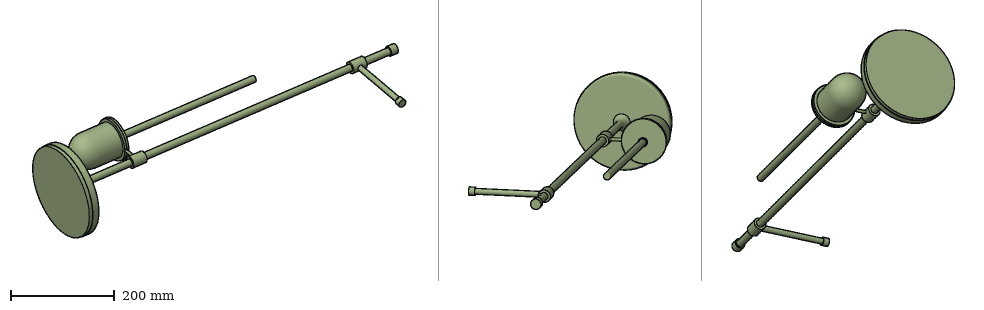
import cadquery as cq
import math

TOTAL_LENGTH = 790.0

BASE_RADIUS = 190.0 / 2
BASE_THICKNESS = 24.5
BASE_EDGE_FILLET = 5.0
FOOT_RADIUS = 94.0
FOOT_HEIGHT = 8.0
POST_RADIUS = 7.5
FLARE_RADIUS = 16.5
FLARE_HEIGHT = 19.0
POST_CAP_RADIUS = 10.0
POST_CAP_LENGTH = 16.0

COLLAR_RADIUS = 24.5 / 2
COLLAR_LENGTH = 31.5

TOWEL_ARM_Y = 699.0
TOWEL_ARM_REACH = 151.0
TOWEL_ARM_RADIUS = 5.9
TOWEL_CAP_RADIUS = 16.5 / 2
TOWEL_CAP_LENGTH = 12.0

CUP_X = -79.0
CUP_RADIUS = 37.0
DOME_CENTER_Y = 119.0
HOLDER_ARM_Y = 179.0
HOLDER_ARM_RADIUS = 3.0
RING_RADIUS = 43.5
RING_BOTTOM_Y = 176.0
RING_HEIGHT = 5.0

LID_RADIUS = 44.0
LID_THICKNESS = 5.0
HANDLE_RADIUS = 7.0
HANDLE_TOP_Y = 513.5
HANDLE_EDGE_FILLET = 1.5
BOSS_RADIUS = 9.0
BOSS_BOTTOM_Y = 190.0
BOSS_HEIGHT = 5.5
BOSS_EDGE_FILLET = 1.2

ring_top_y = RING_BOTTOM_Y + RING_HEIGHT


def rod_along_y(x, start_y, length, radius):
    """Round bar parallel to Y, centred at the given X and at Z = 0."""
    return cq.Workplane(cq.Solid.makeCylinder(radius, length, cq.Vector(x, start_y, 0), cq.Vector(0, 1, 0)))


def rod_along_x(start_x, end_x, y, radius):
    """Round bar parallel to X, at the given Y and at Z = 0."""
    return cq.Workplane(
        cq.Solid.makeCylinder(radius, end_x - start_x, cq.Vector(start_x, y, 0), cq.Vector(1, 0, 0))
    )


def make_collar(center_y):
    """Solid collar around the post; the post bore is cut after the arm is added."""
    return rod_along_y(0, center_y - COLLAR_LENGTH / 2, COLLAR_LENGTH, COLLAR_RADIUS)


def cut_post_bore(body):
    return body.cut(rod_along_y(0, 0, TOTAL_LENGTH, POST_RADIUS))


def make_flare():
    """Concave skirt at the post foot, tangent to the post at its upper end."""
    spread = FLARE_RADIUS - POST_RADIUS
    arc_radius = (spread**2 + FLARE_HEIGHT**2) / (2 * spread)
    half_angle = math.atan2(spread, FLARE_HEIGHT)
    flare_top_y = BASE_THICKNESS + FLARE_HEIGHT
    middle = (
        POST_RADIUS + arc_radius * (1 - math.cos(half_angle)),
        flare_top_y - arc_radius * math.sin(half_angle),
    )
    return (
        cq.Workplane("XY")
        .moveTo(0, BASE_THICKNESS)
        .lineTo(FLARE_RADIUS, BASE_THICKNESS)
        .threePointArc(middle, (POST_RADIUS, flare_top_y))
        .lineTo(0, flare_top_y)
        .close()
        .revolve(360, (0, 0, 0), (0, 1, 0))
    )


def make_stand():
    foot = rod_along_y(0, 0, FOOT_HEIGHT, FOOT_RADIUS)
    base = rod_along_y(0, FOOT_HEIGHT, BASE_THICKNESS - FOOT_HEIGHT, BASE_RADIUS)
    base = base.faces(">Y").edges().fillet(BASE_EDGE_FILLET)
    post = rod_along_y(0, BASE_THICKNESS, TOTAL_LENGTH - BASE_THICKNESS, POST_RADIUS)
    cap = rod_along_y(0, TOTAL_LENGTH - POST_CAP_LENGTH, POST_CAP_LENGTH, POST_CAP_RADIUS)
    return base.union(foot).union(make_flare()).union(post).union(cap)


def make_towel_arm():
    arm = rod_along_x(0, TOWEL_ARM_REACH, TOWEL_ARM_Y, TOWEL_ARM_RADIUS)
    cap_start_x = TOWEL_ARM_REACH - TOWEL_CAP_LENGTH
    cap = rod_along_x(cap_start_x, TOWEL_ARM_REACH, TOWEL_ARM_Y, TOWEL_CAP_RADIUS)
    return cut_post_bore(make_collar(TOWEL_ARM_Y).union(arm).union(cap))


def make_cup():
    """Round cup with a hemispherical bottom, level with the top of the ring."""
    wall = rod_along_y(CUP_X, DOME_CENTER_Y, ring_top_y - DOME_CENTER_Y, CUP_RADIUS)
    dome = cq.Workplane("XZ").sphere(CUP_RADIUS).translate((CUP_X, DOME_CENTER_Y, 0))
    return wall.union(dome)


def make_lid_and_handle():
    lid = rod_along_y(CUP_X, ring_top_y, LID_THICKNESS, LID_RADIUS)
    boss = rod_along_y(CUP_X, BOSS_BOTTOM_Y, BOSS_HEIGHT, BOSS_RADIUS)
    boss = boss.faces("<Y").edges().fillet(BOSS_EDGE_FILLET)
    handle = rod_along_y(CUP_X, ring_top_y, HANDLE_TOP_Y - ring_top_y, HANDLE_RADIUS)
    handle = handle.faces(">Y").edges().fillet(HANDLE_EDGE_FILLET)
    return lid.union(boss).union(handle)


def make_cup_holder(cup, lid_and_handle):
    """Collar, arm and ring; the cup and the lid seat in matching recesses."""
    ring = rod_along_y(CUP_X, RING_BOTTOM_Y, RING_HEIGHT, RING_RADIUS)
    arm = rod_along_x(CUP_X + CUP_RADIUS, 0, HOLDER_ARM_Y, HOLDER_ARM_RADIUS)
    holder = make_collar(HOLDER_ARM_Y).union(arm).union(ring)
    return cut_post_bore(holder).cut(cup).cut(lid_and_handle)


stand = make_stand()
towel_arm = make_towel_arm()
cup = make_cup()
lid_and_handle = make_lid_and_handle()
cup_holder = make_cup_holder(cup, lid_and_handle)

result = cq.Compound.makeCompound(
    [stand.val(), towel_arm.val(), cup.val(), lid_and_handle.val(), cup_holder.val()]
)